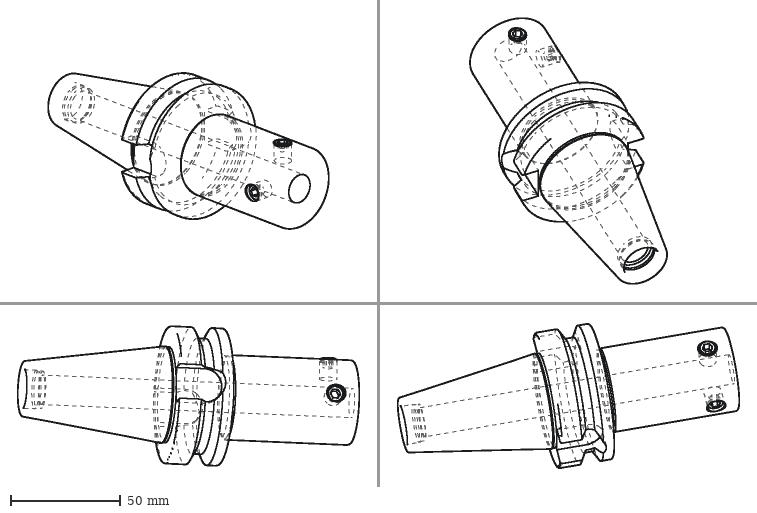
import cadquery as cq
import math

fillet_bulge = 1 - math.sqrt(0.5)

total_length = 153.4
gauge_x = 65.3
flange_start_x = 67.2
flange_end_x = 92.3
relief_end_x = 95.4

taper_small_diameter = 25.5
gauge_diameter = 44.5
shank_relief_diameter = 44.0
relief_step = 0.6
taper_end_fillet = 0.8

flange_diameter = 63.0
flange_fillet = 0.9
groove_diameter = 53.0
groove_floor_start_x = 80.0
groove_floor_end_x = 84.2
groove_side_angle = 30.0

slot_width = 16.1
slot_floor_radius = 22.4
slot_end_x = 88.4

nose_diameter = 39.0
nose_relief_diameter = 38.0
nose_relief_fillet = 1.2
nose_relief_ramp = 0.8
nose_end_fillet = 1.4

through_diameter = 13.5
counterbore_diameter = 17.6
counterbore_depth = 8.9
pilot_diameter = 17.0
pilot_start_x = 6.7
pilot_ramp = 0.9
counterbore_mouth_diameter = 19.3

screw_x = 142.4
screw_diameter = 8.0
screw_tip_diameter = 6.9
hole_mouth_diameter = 8.9
socket_across_flats = 4.0
socket_depth = 4.0
top_screw_head_radius = 20.0
side_screw_head_radius = 17.8
screw_seat_radius = 10.7


def cone(bottom_diameter, top_diameter, height):
    """Truncated cone standing on the XY plane."""
    return (
        cq.Workplane("XY")
        .circle(bottom_diameter / 2)
        .workplane(offset=height)
        .circle(top_diameter / 2)
        .loft(ruled=True)
    )


def place_on_nose(shape, turn):
    """Move a shape built along Z to the screw station and turn it about the X axis."""
    return shape.translate((screw_x, 0, 0)).rotate((0, 0, 0), (1, 0, 0), turn)


def turned_blank():
    """Taper shank, grooved flange and nose as one revolved profile."""
    flange_radius = flange_diameter / 2
    groove_radius = groove_diameter / 2
    groove_side = (flange_radius - groove_radius) * math.tan(math.radians(groove_side_angle))
    nose_radius = nose_diameter / 2
    nose_relief_radius = nose_relief_diameter / 2
    taper_slope = (gauge_diameter - taper_small_diameter) / 2 / gauge_x
    profile = (
        cq.Workplane("XY")
        .lineTo(0, taper_small_diameter / 2 - taper_end_fillet)
        .threePointArc(
            (fillet_bulge * taper_end_fillet, taper_small_diameter / 2 - fillet_bulge * taper_end_fillet),
            (taper_end_fillet, taper_small_diameter / 2 + taper_slope * taper_end_fillet),
        )
        .lineTo(gauge_x, gauge_diameter / 2)
        .lineTo(gauge_x + relief_step, shank_relief_diameter / 2)
        .lineTo(flange_start_x, shank_relief_diameter / 2)
        .lineTo(flange_start_x, flange_radius - flange_fillet)
        .threePointArc(
            (flange_start_x + fillet_bulge * flange_fillet, flange_radius - fillet_bulge * flange_fillet),
            (flange_start_x + flange_fillet, flange_radius),
        )
        .lineTo(groove_floor_start_x - groove_side, flange_radius)
        .lineTo(groove_floor_start_x, groove_radius)
        .lineTo(groove_floor_end_x, groove_radius)
        .lineTo(groove_floor_end_x + groove_side, flange_radius)
        .lineTo(flange_end_x - flange_fillet, flange_radius)
        .threePointArc(
            (flange_end_x - fillet_bulge * flange_fillet, flange_radius - fillet_bulge * flange_fillet),
            (flange_end_x, flange_radius - flange_fillet),
        )
        .lineTo(flange_end_x, nose_relief_radius + nose_relief_fillet)
        .threePointArc(
            (
                flange_end_x + fillet_bulge * nose_relief_fillet,
                nose_relief_radius + fillet_bulge * nose_relief_fillet,
            ),
            (flange_end_x + nose_relief_fillet, nose_relief_radius),
        )
        .lineTo(relief_end_x - nose_relief_ramp, nose_relief_radius)
        .lineTo(relief_end_x, nose_radius)
        .lineTo(total_length - nose_end_fillet, nose_radius)
        .threePointArc(
            (total_length - fillet_bulge * nose_end_fillet, nose_radius - fillet_bulge * nose_end_fillet),
            (total_length, nose_radius - nose_end_fillet),
        )
        .lineTo(total_length, 0)
        .close()
    )
    return profile.revolve(360, (0, 0, 0), (1, 0, 0))


def stepped_bore():
    """Through bore with a round-lipped counterbore, narrowed to a pilot near its floor, at the taper end."""
    counterbore_radius = counterbore_diameter / 2
    mouth_fillet = (counterbore_mouth_diameter - counterbore_diameter) / 2
    return (
        cq.Workplane("XY")
        .lineTo(0, counterbore_mouth_diameter / 2)
        .threePointArc(
            (fillet_bulge * mouth_fillet, counterbore_radius + fillet_bulge * mouth_fillet),
            (mouth_fillet, counterbore_radius),
        )
        .lineTo(pilot_start_x - pilot_ramp, counterbore_radius)
        .lineTo(pilot_start_x, pilot_diameter / 2)
        .lineTo(counterbore_depth, pilot_diameter / 2)
        .lineTo(counterbore_depth, through_diameter / 2)
        .lineTo(total_length, through_diameter / 2)
        .lineTo(total_length, 0)
        .close()
        .revolve(360, (0, 0, 0), (1, 0, 0))
    )


def drive_slot(side):
    """Round-ended slot cutter on the +Y (side = 1) or -Y (side = -1) flank."""
    half_width = slot_width / 2
    straight_end_x = slot_end_x - half_width
    return (
        cq.Workplane("XZ", origin=(0, side * slot_floor_radius, 0))
        .moveTo(flange_start_x, -half_width)
        .lineTo(straight_end_x, -half_width)
        .threePointArc((slot_end_x, 0), (straight_end_x, half_width))
        .lineTo(flange_start_x, half_width)
        .close()
        .extrude(-side * flange_diameter / 2)
    )


def screw_hole(turn):
    """Hole for a clamping screw, from its seat outward, with a chamfered mouth."""
    nose_radius = nose_diameter / 2
    mouth_chamfer = (hole_mouth_diameter - screw_diameter) / 2
    drill = (
        cq.Workplane("XY", origin=(0, 0, screw_seat_radius))
        .circle(screw_diameter / 2)
        .extrude(flange_diameter / 2 - screw_seat_radius)
    )
    mouth = cone(screw_diameter, hole_mouth_diameter, mouth_chamfer)
    return place_on_nose(drill.union(mouth.translate((0, 0, nose_radius - mouth_chamfer))), turn)


def clamping_screw(turn, head_radius):
    """Set screw with a chamfered head edge and a hexagon socket."""
    edge_chamfer = (screw_diameter - screw_tip_diameter) / 2
    socket_corner_diameter = socket_across_flats / math.cos(math.pi / 6)
    screw = (
        cq.Workplane("XY", origin=(0, 0, screw_seat_radius))
        .circle(screw_diameter / 2)
        .extrude(head_radius - screw_seat_radius)
        .faces(">Z")
        .chamfer(edge_chamfer)
        .faces(">Z")
        .workplane()
        .polygon(6, socket_corner_diameter)
        .cutBlind(-socket_depth)
    )
    return place_on_nose(screw, turn)


screw_settings = [(0, top_screw_head_radius), (90, side_screw_head_radius)]

holder = turned_blank().cut(stepped_bore())
for slot_side in (1, -1):
    holder = holder.cut(drive_slot(slot_side))
for turn, _ in screw_settings:
    holder = holder.cut(screw_hole(turn))

screws = [clamping_screw(turn, head_radius).val() for turn, head_radius in screw_settings]

result = cq.Compound.makeCompound([holder.val(), *screws])